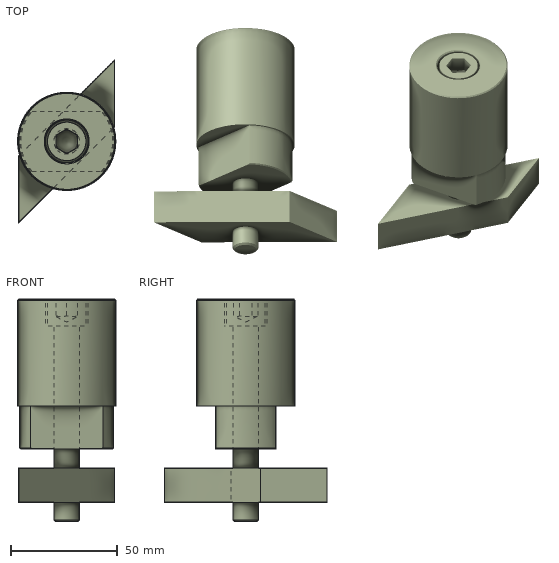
import cadquery as cq
import math

total_height = 104.0

housing_diameter = 46.0
housing_chamfer = 0.5
foot_diameter = 44.0
foot_width = 28.1
foot_chamfer = 0.5
foot_bottom = 34.0
shoulder_z = 54.0

counterbore_diameter = 20.0
counterbore_chamfer = 0.5

shank_diameter = 12.0
tip_chamfer = 0.8
head_diameter = 18.0
head_height = 12.0
head_recess = 0.5
socket_flats = 10.0
socket_depth = 7.3
socket_cone_height = 2.9
socket_turn = 30

nut_width = 44.9
nut_length = 76.1
nut_bottom = 9.0
nut_thickness = 16.0

head_top = total_height - head_recess
head_seat = head_top - head_height
socket_corner_diameter = socket_flats / math.cos(math.pi / 6)


def cylinder(diameter, bottom, top):
    """Upright cylinder on the Z axis."""
    return cq.Workplane("XY").workplane(offset=bottom).circle(diameter / 2).extrude(top - bottom)


def make_housing():
    """Round housing with a flatted foot and a counterbored hole for the screw."""
    barrel = cylinder(housing_diameter, shoulder_z, total_height).faces(">Z").chamfer(housing_chamfer)

    foot = cylinder(foot_diameter, foot_bottom, shoulder_z).faces("<Z").chamfer(foot_chamfer)
    flats = cq.Workplane("XY").box(foot_diameter, foot_width, total_height, centered=(True, True, False))
    foot = foot.intersect(flats)

    counterbore = cylinder(counterbore_diameter, head_seat, total_height)
    shank_hole = cylinder(shank_diameter, foot_bottom, head_seat)
    body = barrel.union(foot).cut(counterbore).cut(shank_hole)
    counterbore_rim = cq.selectors.RadiusNthSelector(0)
    return body.faces(">Z").edges(counterbore_rim).chamfer(counterbore_chamfer)


def make_socket():
    """Hexagon socket, corners on the Y axis, with a conical floor reaching the corners."""
    socket_bottom = head_top - socket_depth - socket_cone_height
    hexagon = (
        cq.Workplane("XY")
        .workplane(offset=socket_bottom)
        .polygon(6, socket_corner_diameter)
        .extrude(head_top - socket_bottom)
        .rotate((0, 0, 0), (0, 0, 1), socket_turn)
    )
    pointed_bore = (
        cq.Workplane("XZ")
        .moveTo(0, socket_bottom)
        .lineTo(socket_corner_diameter / 2, head_top - socket_depth)
        .lineTo(socket_corner_diameter / 2, head_top)
        .lineTo(0, head_top)
        .close()
        .revolve(360, (0, 0, 0), (0, 1, 0))
    )
    return hexagon.intersect(pointed_bore)


def make_nut_block():
    """Parallelogram block with two sides along Y and two sides at 45 degrees."""
    half_width = nut_width / 2
    half_length = nut_length / 2
    inner_corner_y = half_length - nut_width
    return (
        cq.Workplane("XY")
        .workplane(offset=nut_bottom)
        .moveTo(-half_width, -half_length)
        .lineTo(half_width, -inner_corner_y)
        .lineTo(half_width, half_length)
        .lineTo(-half_width, inner_corner_y)
        .close()
        .extrude(nut_thickness)
    )


def make_clamp_screw():
    """Socket-head screw carrying the clamping nut near its tip."""
    shank = cylinder(shank_diameter, 0, head_seat).faces("<Z").chamfer(tip_chamfer)
    head = cylinder(head_diameter, head_seat, head_top)
    return shank.union(head).cut(make_socket()).union(make_nut_block())


housing = make_housing()
clamp_screw = make_clamp_screw()
result = cq.Compound.makeCompound([housing.val(), clamp_screw.val()])